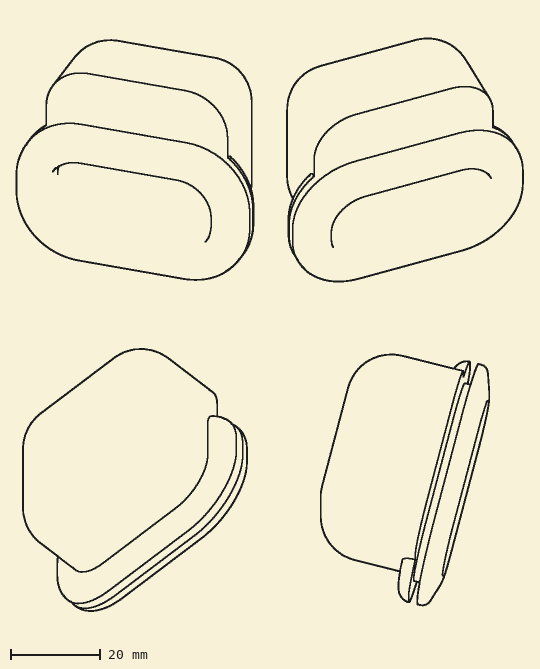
import cadquery as cq
import math

front_flange_thickness = 4.0
groove_width = 2.0
rear_flange_thickness = 3.0
total_depth = 30.0
body_start = front_flange_thickness + groove_width

flange_width = 55.0
flange_height = 34.0
flange_corner = 15.0

bevel_inset = 6.0
bevel_depth = 2.0
bevel_outer_round = 2.0
bevel_inner_round = 5.0

selection_margin = 0.1

neck_width = 46.0
neck_height = 22.0

body_width = 43.0
body_height = 40.0
body_round = 10.0
body_center_z = (body_height - neck_height) / 2

wall = 2.0
cavity_start = body_start + wall
cavity_width = body_width - 2 * wall
cavity_height = body_height - 2 * wall
cavity_round = body_round - wall
mouth_height = neck_height - 2 * wall
mouth_lip_round = 1.0
mouth_rim_reach_x = cavity_width / 2 + selection_margin
mouth_rim_reach_z = mouth_height / 2 + selection_margin


def rounded_block(width, height, corner, y_start, y_end):
    """Rounded rectangle in the XZ plane, extruded from y_start to y_end."""
    return (
        cq.Workplane("XY")
        .box(width, y_end - y_start, height)
        .edges("|Y")
        .fillet(corner)
        .translate((0, (y_start + y_end) / 2, 0))
    )


def front_flange():
    straight_rim = rounded_block(flange_width, flange_height, flange_corner, bevel_depth, front_flange_thickness)
    bevel_taper = math.degrees(math.atan2(bevel_inset, bevel_depth))
    bevel = (
        cq.Workplane("XZ", origin=(0, bevel_depth, 0))
        .sketch()
        .rect(flange_width, flange_height)
        .vertices()
        .fillet(flange_corner)
        .finalize()
        .extrude(bevel_depth, taper=bevel_taper)
    )
    flange = straight_rim.union(bevel)
    flange = flange.faces("<Y").edges().fillet(bevel_inner_round)
    outer_edge = cq.selectors.BoxSelector(
        (-flange_width, bevel_depth - selection_margin, -flange_height),
        (flange_width, bevel_depth + selection_margin, flange_height),
    )
    return flange.edges(outer_edge).fillet(bevel_outer_round)


def rear_flange():
    rear_end = body_start + rear_flange_thickness
    flange = rounded_block(flange_width, flange_height, flange_corner, 0, rear_end)
    flange = flange.faces(">Y").edges().fillet(rear_flange_thickness)
    return flange.intersect(rounded_block(flange_width, flange_height, flange_corner, body_start, rear_end))


def neck():
    return (
        cq.Workplane("XZ", origin=(0, body_start, 0))
        .slot2D(neck_width, neck_height)
        .extrude(groove_width)
    )


def domed_block(width, height, radius, y_start, y_end):
    """Block on the body's axis, rounded on its side and rear edges with one radius."""
    return (
        cq.Workplane("XY")
        .box(width, y_end - y_start, height)
        .edges("|Y or >Y")
        .fillet(radius)
        .translate((0, (y_start + y_end) / 2, body_center_z))
    )


def body():
    return domed_block(body_width, body_height, body_round, body_start, total_depth)


def cavity():
    return domed_block(cavity_width, cavity_height, cavity_round, cavity_start, total_depth - wall)


def mouth():
    return rounded_block(cavity_width, mouth_height, cavity_round, 0, cavity_start)


def round_mouth_lip(part):
    rim = cq.selectors.BoxSelector(
        (-mouth_rim_reach_x, -selection_margin, -mouth_rim_reach_z),
        (mouth_rim_reach_x, selection_margin, mouth_rim_reach_z),
        boundingbox=True,
    )
    return part.edges(rim).fillet(mouth_lip_round)


solid = front_flange().union(neck()).union(rear_flange()).union(body())
hollow = solid.cut(cavity()).cut(mouth())
result = round_mouth_lip(hollow)